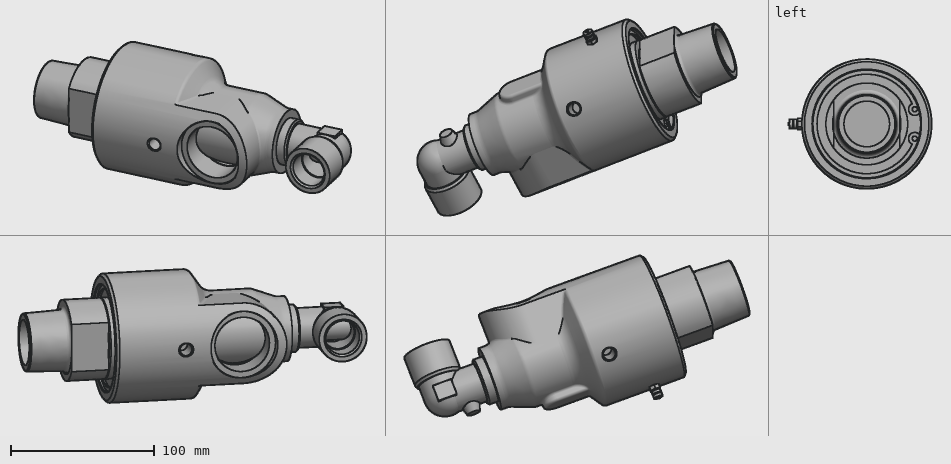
import cadquery as cq
import math


nose_end_dia = 41.0
nose_root_dia = 43.2
nose_length = 26.1
nose_chamfer = 0.8
nose_bore_dia = 31.8
nose_bore_depth = 116.0

shank_start = 28.7
shank_dia = 57.0
root_flare_dia = 47.6
flats_width = 45.8
flats_end = 55.1
relief_dia = 46.0
hub_start = 55.8

body_dia = 90.5
body_start = 56.4
body_chamfer = 1.9
recess_dia = 75.08
recess_depth = 3.8
recess_chamfer = 0.6
recess_floor = body_start + recess_depth

ring_inner_dia = 69.3
ring_thickness = 1.5
ear_dia = 8.6
ear_hole_dia = 3.5
ear_y = -33.4
ear_z = 10.2

flare_start = 117.4
flare_angle = 55.0
flare_round = 3.4
neck_dia = 58.8
neck_blend = 11.8
cone_start = 162.6
cone_end = 180.4
cone_blend = 8.0
collar_dia = 45.7
collar_end = 186.2

flange_dia = 33.4
flange_end = 193.5
flange_chamfer = 1.2
pipe_dia = 28.0

tongue_half_width = 28.9
tongue_x = 148.4
tongue_root_x = 110.0
tongue_blend = 2.0
shoulder_blend = 1.5
flare_tip_dia = 40.0
port_x = 147.1
port_dia = 38.95
port_inner_dia = 38.2
port_step_y = -18.0
port_core_dia = 47.6
spotface_dia = 47.6
spotface_y = -38.0

pad_half_width = 10.0
pad_root_x = 120.0
pad_y = 34.0
pad_round = 2.2
pad_blend = 2.0

drain_x = 105.6
drain_dia = 8.6
drain_mouth_dia = 10.5
drain_chamfer = 0.8
drain_depth = 16.0
drain_angles = (60, 180, 300)

nipple_x = 80.9
nipple_root_y = body_dia / 2 - 2
nipple_hex_width = 7.0
nipple_hex_top = 48.1
nipple_neck_dia = 5.36
nipple_head_dia = 6.6
nipple_head_y = 48.7
nipple_groove_y = 50.9
nipple_groove_width = 0.6
nipple_head_top = 53.8
nipple_ball_dia = 2.0
nipple_tip_y = 54.66

total_length = 236.63
socket_dia = 34.0
socket_end_y = -35.2
socket_start_y = -14.1
socket_cone_y = -11.9
socket_cone_dia = 31.8
socket_bore_dia = 24.0
socket_inner_dia = 22.63
socket_step_y = -20.0
socket_mouth_dia = 26.8
socket_mouth_chamfer = 1.4
socket_core_dia = 19.4
elbow_dia = 29.8
elbow_x = total_length - socket_dia / 2
elbow_pad_length = 13.7
elbow_pad_width = 11.6
elbow_pad_z = 15.2

plug_x = 205.2
plug_root_y = 10.0
plug_root_dia = 15.2
plug_top_y = 19.0
plug_top_dia = 9.3


def x_cylinder(dia, x_from, x_to):
    """Cylinder on the X axis."""
    return cq.Workplane("YZ", origin=(x_from, 0, 0)).circle(dia / 2).extrude(x_to - x_from)


def y_cylinder(dia, x, y_from, y_to):
    """Cylinder along Y in the plane z = 0."""
    return cq.Workplane("XZ", origin=(x, y_from, 0)).circle(dia / 2).extrude(y_from - y_to)


def y_cone(x, y_from, dia_from, y_to, dia_to):
    """Truncated cone along Y in the plane z = 0."""
    outline = cq.Workplane("XY", origin=(x, 0, 0))
    outline = outline.polyline([(0, y_from), (dia_from / 2, y_from), (dia_to / 2, y_to), (0, y_to)])
    return outline.close().revolve(360, (0, 0, 0), (0, 1, 0))


def x_revolve(corners):
    """Solid of revolution about X; corners are (x, radius) or (x, radius, rounding)."""
    outline = cq.Workplane("XY").moveTo(*corners[0][:2])
    for index in range(1, len(corners)):
        x, radius = corners[index][:2]
        if len(corners[index]) == 2:
            outline = outline.lineTo(x, radius)
            continue
        corner = cq.Vector(x, radius)
        arriving = (corner - cq.Vector(*corners[index - 1][:2])).normalized()
        leaving = (cq.Vector(*corners[index + 1][:2]) - corner).normalized()
        setback = corners[index][2] * math.tan(arriving.getAngle(leaving) / 2)
        arc_start = corner - arriving * setback
        arc_end = corner + leaving * setback
        outline = outline.lineTo(arc_start.x, arc_start.y)
        outline = outline.tangentArcPoint((arc_end.x, arc_end.y), relative=False)
    return outline.close().revolve(360, (0, 0, 0), (1, 0, 0))


def flare_x(radius):
    """Position along X where the flank of the flare has the given radius."""
    return flare_start + (body_dia / 2 - radius) / math.tan(math.radians(flare_angle))


def shoulder_radius(x):
    """Radius of the shoulder cone, or of its extension, at x."""
    slope = (collar_dia - neck_dia) / 2 / (cone_end - cone_start)
    return neck_dia / 2 + slope * (x - cone_start)


def make_main_body():
    body_r = body_dia / 2
    neck_r = neck_dia / 2
    collar_r = collar_dia / 2
    return x_revolve(
        [
            (body_start, 0),
            (body_start, body_r - body_chamfer),
            (body_start + body_chamfer, body_r),
            (flare_start, body_r, flare_round),
            (flare_x(neck_r), neck_r, neck_blend),
            (cone_start, neck_r, cone_blend),
            (cone_end, collar_r, cone_blend),
            (collar_end, collar_r),
            (collar_end, 0),
        ]
    )


def make_tongue_root():
    """Straight part of the tongue, blended into the flank of the flare."""
    tip_r = flare_tip_dia / 2
    flare = x_revolve(
        [
            (tongue_root_x, 0),
            (tongue_root_x, body_dia / 2),
            (flare_start, body_dia / 2, flare_round),
            (flare_x(tip_r), tip_r),
            (flare_x(tip_r), 0),
        ]
    )
    length = tongue_x - tongue_root_x
    block = cq.Workplane("XZ").center(tongue_x - length / 2, 0).rect(length, 2 * tongue_half_width)
    root = flare.union(block.extrude(body_dia))
    corners = [edge for edge in root.edges().vals() if edge.geomType() == "HYPERBOLA"]
    return root.newObject(corners).fillet(tongue_blend)


def make_tongue_end():
    """Round end of the tongue, blended into the shoulder cone."""
    cone = x_revolve(
        [
            (flare_start, 0),
            (flare_start, shoulder_radius(flare_start)),
            (collar_end, shoulder_radius(collar_end)),
            (collar_end, 0),
        ]
    )
    tongue = y_cylinder(2 * tongue_half_width, tongue_x, 0, -body_dia)
    end = cone.union(tongue)
    seams = [edge for edge in end.edges().vals() if edge.geomType() == "BSPLINE"]
    end = end.newObject(seams).fillet(shoulder_blend)
    cone_angle = math.atan((neck_dia - collar_dia) / 2 / (cone_end - cone_start))
    shoulder_start = cone_start + cone_blend * math.tan(cone_angle / 2) * math.cos(cone_angle)
    return tongue.union(end.intersect(x_cylinder(body_dia, shoulder_start, collar_end)))


def make_tongue():
    tongue = make_tongue_root().union(make_tongue_end())
    return tongue.intersect(x_cylinder(body_dia, tongue_root_x, collar_end))


def add_pad(body):
    """Add the closed pad on +Y and blend its foot into the flare and neck."""
    length = tongue_x - pad_root_x
    bar = cq.Workplane("XZ").center(tongue_x - length / 2, 0).rect(length, 2 * pad_half_width)
    pad = bar.extrude(-pad_y).union(y_cylinder(2 * pad_half_width, tongue_x, 0, pad_y))
    pad = pad.faces(">Y").edges().fillet(pad_round)
    joined = body.union(pad)
    margin = 0.5
    reach = pad_half_width + margin
    foot_y = math.sqrt((neck_dia / 2) ** 2 - pad_half_width**2)
    box = cq.selectors.BoxSelector(
        (pad_root_x, foot_y - margin, -reach), (tongue_x + reach, pad_y - pad_round, reach)
    )
    foot = [edge for edge in joined.edges(box).vals() if edge.BoundingBox().ymin < foot_y + margin]
    foot = [edge for edge in foot if edge.BoundingBox().xlen > margin]
    return joined.newObject(foot).fillet(pad_blend)


def cut_recess(body):
    """Chamfered recess in the front face of the body."""
    radius = recess_dia / 2
    return body.cut(
        x_revolve(
            [
                (body_start, 0),
                (body_start, radius + recess_chamfer),
                (body_start + recess_chamfer, radius),
                (recess_floor, radius),
                (recess_floor, 0),
            ]
        )
    )


def make_snap_ring():
    """Open ring with an eyelet at each end."""
    ring_start = recess_floor - ring_thickness
    ring = x_cylinder(recess_dia, ring_start, recess_floor)
    ring = ring.cut(x_cylinder(ring_inner_dia, ring_start, recess_floor))
    gap_depth = recess_dia / 2
    gap = cq.Workplane("YZ", origin=(ring_start, -gap_depth, 0)).rect(gap_depth, 2 * ear_z)
    ring = ring.cut(gap.extrude(ring_thickness))
    ears = cq.Workplane("YZ", origin=(ring_start, 0, 0)).pushPoints([(ear_y, -ear_z), (ear_y, ear_z)])
    ring = ring.union(ears.circle(ear_dia / 2).extrude(ring_thickness))
    return ring.cut(ears.circle(ear_hole_dia / 2).extrude(ring_thickness))


def make_shank():
    """Tapered nose, flared into a shank with two wrench flats, then a relief groove and a hub."""
    end_x = recess_floor + ring_thickness
    outline = (
        cq.Workplane("XY")
        .lineTo(0, nose_end_dia / 2 - nose_chamfer)
        .lineTo(nose_chamfer, nose_end_dia / 2)
        .lineTo(nose_length, nose_root_dia / 2)
        .tangentArcPoint((shank_start, root_flare_dia / 2), relative=False)
        .lineTo(shank_start, shank_dia / 2)
        .lineTo(flats_end, shank_dia / 2)
        .lineTo(flats_end, relief_dia / 2)
        .lineTo(hub_start, relief_dia / 2)
        .lineTo(hub_start, shank_dia / 2)
        .lineTo(end_x, shank_dia / 2)
        .lineTo(end_x, 0)
    )
    shank = outline.close().revolve(360, (0, 0, 0), (1, 0, 0))
    flats = cq.Workplane("YZ", origin=(shank_start, 0, 0))
    offset = (flats_width + shank_dia) / 2
    flats = flats.pushPoints([(-offset, 0), (offset, 0)]).rect(shank_dia, shank_dia)
    return shank.cut(flats.extrude(flats_end - shank_start))


def cut_port(body):
    """Spotface and stepped bore of the side port, leaving the core across its inner end."""
    body = body.cut(y_cylinder(spotface_dia, port_x, spotface_y, -body_dia))
    bore = y_cylinder(port_dia, port_x, port_step_y, -body_dia)
    bore = bore.union(y_cylinder(port_inner_dia, port_x, 0, port_step_y))
    return body.cut(bore.cut(x_cylinder(port_core_dia, tongue_root_x, collar_end)))


def cut_drains(body):
    """Chamfered blind drain holes around the body."""
    top = body_dia / 2
    drain = y_cylinder(drain_dia, drain_x, top - drain_depth, body_dia)
    drain = drain.union(y_cone(drain_x, top - drain_chamfer, drain_dia, top, drain_mouth_dia))
    for angle in drain_angles:
        body = body.cut(drain.rotate((0, 0, 0), (1, 0, 0), angle))
    return body


def make_nipple():
    """Grease nipple: hexagon, neck, grooved head and ball tip."""
    hexagon = cq.Workplane("XZ", origin=(nipple_x, nipple_root_y, 0))
    hexagon = hexagon.polygon(6, nipple_hex_width, circumscribed=True)
    nipple = hexagon.extrude(nipple_root_y - nipple_hex_top)
    groove_end_y = nipple_groove_y + nipple_groove_width
    sections = [
        (nipple_neck_dia, nipple_root_y, nipple_head_top),
        (nipple_head_dia, nipple_head_y, nipple_groove_y),
        (nipple_head_dia, groove_end_y, nipple_head_top),
        (nipple_ball_dia, nipple_head_top, nipple_tip_y),
    ]
    for dia, y_from, y_to in sections:
        nipple = nipple.union(y_cylinder(dia, nipple_x, y_from, y_to))
    return nipple


def make_pipe():
    """Stepped flange, pipe and tapered plug."""
    flange = x_cylinder(flange_dia, collar_end, flange_end)
    flange = flange.faces(">X").edges().chamfer(flange_chamfer)
    pipe = flange.union(x_cylinder(pipe_dia, collar_end, elbow_x))
    return pipe.union(y_cone(plug_x, plug_root_y, plug_root_dia, plug_top_y, plug_top_dia))


def make_elbow():
    """Spherical elbow with a leg to -Y, a socket and a square pad on +Z."""
    elbow = cq.Workplane("XY", origin=(elbow_x, 0, 0)).sphere(elbow_dia / 2)
    elbow = elbow.union(y_cylinder(elbow_dia, elbow_x, 0, socket_start_y))
    elbow = elbow.union(y_cone(elbow_x, socket_cone_y, socket_cone_dia, socket_start_y, socket_dia))
    elbow = elbow.union(y_cylinder(socket_dia, elbow_x, socket_start_y, socket_end_y))
    pad = cq.Workplane("XY", origin=(elbow_x, 0, 0)).rect(elbow_pad_length, elbow_pad_width)
    return elbow.union(pad.extrude(elbow_pad_z))


def cut_socket(body):
    """Chamfered, stepped bore of the socket, leaving the core across its inner end."""
    bore = y_cylinder(socket_inner_dia, elbow_x, 0, socket_end_y)
    bore = bore.union(y_cylinder(socket_bore_dia, elbow_x, socket_step_y, socket_end_y))
    bore = bore.cut(x_cylinder(socket_core_dia, flange_end, total_length))
    mouth_y = socket_end_y + socket_mouth_chamfer
    mouth = y_cone(elbow_x, socket_end_y, socket_mouth_dia, mouth_y, socket_bore_dia)
    return body.cut(bore).cut(mouth)


part = add_pad(make_main_body()).union(make_tongue())
part = cut_recess(part).union(make_snap_ring()).union(make_shank())
part = cut_drains(cut_port(part)).union(make_nipple())
part = cut_socket(part.union(make_pipe()).union(make_elbow()))
result = part.cut(x_cylinder(nose_bore_dia, 0, nose_bore_depth))